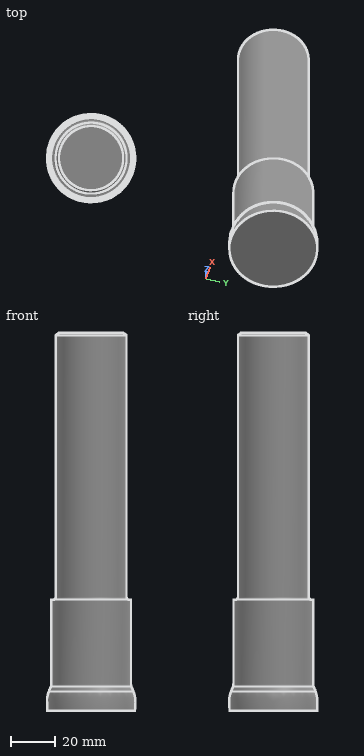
import cadquery as cq

TOTAL_HEIGHT = 170.0
TIP_DIAMETER = 40.0
SHANK_DIAMETER = 32.0
SLEEVE_DIAMETER = 36.0

SLEEVE_TOP = 50.0
FLARE_BAND_TOP = 11.9
FLARE_TOP = 10.9
FLARE_BOTTOM = 9.4
TIP_TOP = 8.7

CHAMFER_WIDTH = 1.5
CHAMFER_HEIGHT = 1.2
ROOT_FILLET = 1.0
FLARE_DIAMETER = 37.7
NECK_BAND_DIAMETER = 36.2
TIP_TOP_DIAMETER = 38.0
TIP_SHOULDER_DIAMETER = 39.0
TIP_SHOULDER_HEIGHT = 7.6
TIP_WIDEST_HEIGHT = 3.0
TIP_BOTTOM_DIAMETER = 39.6


def make_holder():
    """Chamfered shank, thicker sleeve and flared foot, turned about Z."""
    shank_radius = SHANK_DIAMETER / 2
    sleeve_radius = SLEEVE_DIAMETER / 2
    profile = (
        cq.Workplane("XZ")
        .moveTo(0, TIP_TOP)
        .lineTo(TIP_TOP_DIAMETER / 2, TIP_TOP)
        .lineTo(FLARE_DIAMETER / 2, FLARE_BOTTOM)
        .lineTo(NECK_BAND_DIAMETER / 2, FLARE_TOP)
        .lineTo(sleeve_radius, FLARE_BAND_TOP)
        .lineTo(sleeve_radius, SLEEVE_TOP)
        .lineTo(shank_radius + ROOT_FILLET, SLEEVE_TOP)
        .radiusArc((shank_radius, SLEEVE_TOP + ROOT_FILLET), ROOT_FILLET)
        .lineTo(shank_radius, TOTAL_HEIGHT - CHAMFER_HEIGHT)
        .lineTo(shank_radius - CHAMFER_WIDTH, TOTAL_HEIGHT)
        .lineTo(0, TOTAL_HEIGHT)
        .close()
    )
    return profile.revolve(360, (0, 0), (0, 1))


def make_tip():
    """Disc with a gently bulging side that narrows to the holder's foot."""
    profile = (
        cq.Workplane("XZ")
        .lineTo(TIP_BOTTOM_DIAMETER / 2, 0)
        .spline(
            [
                (TIP_DIAMETER / 2, TIP_WIDEST_HEIGHT),
                (TIP_SHOULDER_DIAMETER / 2, TIP_SHOULDER_HEIGHT),
                (TIP_TOP_DIAMETER / 2, TIP_TOP),
            ],
            includeCurrent=True,
        )
        .lineTo(0, TIP_TOP)
        .close()
    )
    return profile.revolve(360, (0, 0), (0, 1))


holder = make_holder()
tip = make_tip()

result = cq.Compound.makeCompound([holder.val(), tip.val()])